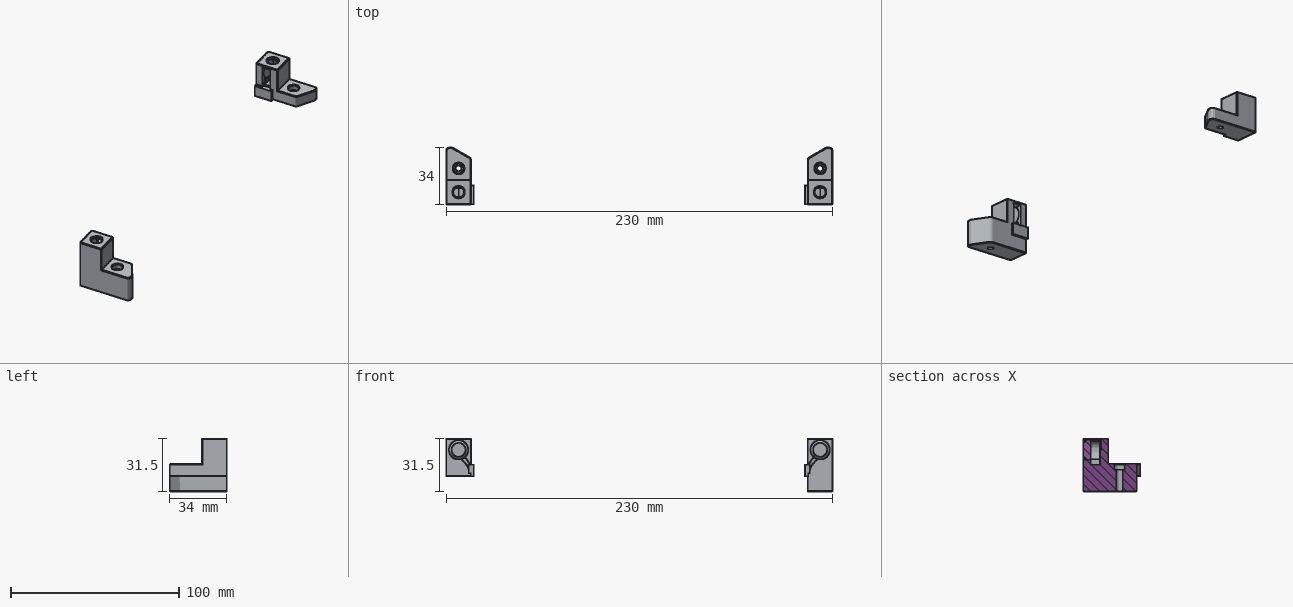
import cadquery as cq
import math

TOTAL_LENGTH = 230.0
DEPTH = 34.0
TOP_Z = 31.5
LEFT_BASE_Z = 9.0
RIGHT_BASE_Z = 0.0

TOWER_SIDE = 15.0
SHELF_Z = 16.5
FOOT_INNER_LENGTH = 27.5
FOOT_SLANT = 30.0
BACK_CORNER_RADIUS = 2.0
FRONT_CORNER_RADIUS = 1.0
EDGE_CHAMFER = 0.5
CENTRE_X = TOWER_SIDE / 2

MOUNT_HOLE_Y = 21.6
MOUNT_HOLE_DIAMETER = 3.5
COUNTERBORE_DIAMETER = 6.0
COUNTERBORE_DEPTH = 3.5

TOP_HOLE_DIAMETER = 6.5
TOP_HOLE_Y = TOWER_SIDE / 2
HOLE_CHAMFER = 0.58
HOLE_CHAMFER_ANGLE = 45

BORE_DIAMETER = 11.5
BORE_RADIUS = BORE_DIAMETER / 2
BORE_Z = 24.8
BORE_DEPTH = 10.0
PLUG_LENGTH = 4.5
PLUG_FACE_DIAMETER = 8.3
PLUG_CONE_LENGTH = 1.8

RAMP_ANGLE = math.radians(45)
RAMP_TOP_X = 8.7
RAMP_WALL_X = 13.5
BEND_RADIUS = 7.0
RAMP_TOP_OVERLAP = 0.5
RAMP_TOP_Z = BORE_Z - BORE_RADIUS + RAMP_TOP_OVERLAP
CHANNEL_BOTTOM_Z = 10.8
CEILING_X = 12.0
CEILING_END_X = 14.3
CEILING_Z = 19.8

WINDOW_TOP_Z = 30.0
LIP_TOP_Z = 16.0
LIP_REACH = 1.5
LIP_LENGTH = 11.5
LIP_SETBACK = 0.2


def box(x_range, y_range, z_range):
    """Axis-aligned box between the given pairs of limits."""
    sizes = [high - low for low, high in (x_range, y_range, z_range)]
    corner = (x_range[0], y_range[0], z_range[0])
    return cq.Workplane("XY").box(*sizes, centered=False).translate(corner)


def hole_down(diameter, y, top_z, depth):
    """Vertical cylinder on the bracket's centre line, reaching down from top_z."""
    return cq.Workplane("XY").workplane(offset=top_z).center(CENTRE_X, y).circle(diameter / 2).extrude(-depth)


def hole_chamfer(diameter, y, top_z):
    """Cone that breaks the rim of a vertical hole."""
    rim = cq.Workplane("XY").workplane(offset=top_z).center(CENTRE_X, y).circle(diameter / 2 + HOLE_CHAMFER)
    return rim.extrude(-HOLE_CHAMFER, taper=HOLE_CHAMFER_ANGLE)


def bracket_blank(base_z):
    """Foot and tower with their rounded corners and chamfered edges."""
    slant_depth = DEPTH - FOOT_INNER_LENGTH
    tip_width = TOWER_SIDE - slant_depth / math.tan(math.radians(FOOT_SLANT))
    outline = [(0, 0), (TOWER_SIDE, 0), (TOWER_SIDE, FOOT_INNER_LENGTH), (tip_width, DEPTH), (0, DEPTH)]
    foot = (
        cq.Workplane("XY")
        .workplane(offset=base_z)
        .polyline(outline)
        .close()
        .extrude(SHELF_Z - base_z)
        .edges("|Z and (not <Y)")
        .fillet(BACK_CORNER_RADIUS)
        .faces(">Z")
        .chamfer(EDGE_CHAMFER)
    )
    tower = box((0, TOWER_SIDE), (0, TOWER_SIDE), (base_z, TOP_Z))
    tower_back = cq.selectors.BoxSelector(
        (-EDGE_CHAMFER, TOWER_SIDE - EDGE_CHAMFER, SHELF_Z + EDGE_CHAMFER),
        (TOWER_SIDE + EDGE_CHAMFER, TOWER_SIDE + EDGE_CHAMFER, TOP_Z - EDGE_CHAMFER),
    )
    return (
        foot.union(tower)
        .edges("|Z and <Y")
        .fillet(FRONT_CORNER_RADIUS)
        .edges(tower_back)
        .edges("|Z")
        .chamfer(EDGE_CHAMFER)
        .faces(">Z or <Z")
        .chamfer(EDGE_CHAMFER)
    )


def channel():
    """Passage from the bore along the ramp to the inner side."""
    bend_centre_x = RAMP_WALL_X - BEND_RADIUS
    bend_start_x = bend_centre_x + BEND_RADIUS * math.sin(RAMP_ANGLE)
    bend_start_z = RAMP_TOP_Z - (bend_start_x - RAMP_TOP_X) * math.tan(RAMP_ANGLE)
    bend_centre_z = bend_start_z - BEND_RADIUS * math.cos(RAMP_ANGLE)
    half_bend = (math.pi / 2 - RAMP_ANGLE) / 2
    bend_middle = (
        bend_centre_x + BEND_RADIUS * math.cos(half_bend),
        bend_centre_z + BEND_RADIUS * math.sin(half_bend),
    )
    return (
        cq.Workplane("XZ")
        .moveTo(RAMP_TOP_X, RAMP_TOP_Z)
        .lineTo(bend_start_x, bend_start_z)
        .threePointArc(bend_middle, (RAMP_WALL_X, bend_centre_z))
        .lineTo(RAMP_WALL_X, CHANNEL_BOTTOM_Z)
        .lineTo(TOWER_SIDE, CHANNEL_BOTTOM_Z)
        .lineTo(TOWER_SIDE, LIP_TOP_Z)
        .lineTo(CEILING_END_X, LIP_TOP_Z)
        .lineTo(CEILING_X, CEILING_Z)
        .lineTo(RAMP_TOP_X, CEILING_Z)
        .close()
        .extrude(-BORE_DEPTH)
    )


def bracket(base_z):
    """Bracket with its outer side at X = 0 and its inner side towards +X."""
    bore = cq.Workplane("XZ").center(CENTRE_X, BORE_Z).circle(BORE_RADIUS).extrude(-BORE_DEPTH)
    window = box((CENTRE_X, TOWER_SIDE), (PLUG_LENGTH, BORE_DEPTH), (LIP_TOP_Z, WINDOW_TOP_Z))
    lip = box((RAMP_WALL_X, TOWER_SIDE + LIP_REACH), (LIP_SETBACK, LIP_LENGTH), (LEFT_BASE_Z, LIP_TOP_Z))
    return (
        bracket_blank(base_z)
        .cut(bore)
        .cut(channel())
        .cut(window)
        .union(lip)
        .cut(hole_down(TOP_HOLE_DIAMETER, TOP_HOLE_Y, TOP_Z, TOP_Z - BORE_Z))
        .cut(hole_chamfer(TOP_HOLE_DIAMETER, TOP_HOLE_Y, TOP_Z))
        .cut(hole_down(MOUNT_HOLE_DIAMETER, MOUNT_HOLE_Y, SHELF_Z, SHELF_Z - base_z))
        .cut(hole_down(COUNTERBORE_DIAMETER, MOUNT_HOLE_Y, SHELF_Z, COUNTERBORE_DEPTH))
        .cut(hole_chamfer(COUNTERBORE_DIAMETER, MOUNT_HOLE_Y, SHELF_Z))
    )


def plug():
    """Short cylinder with a conical nose, flush with the bracket's front."""
    half_profile = [
        (0, 0),
        (PLUG_FACE_DIAMETER / 2, 0),
        (BORE_RADIUS, PLUG_CONE_LENGTH),
        (BORE_RADIUS, PLUG_LENGTH),
        (0, PLUG_LENGTH),
    ]
    turned = cq.Workplane("XY").polyline(half_profile).close().revolve(360, (0, 0, 0), (0, 1, 0))
    return turned.translate((CENTRE_X, 0, BORE_Z))


def place_left(body):
    """Move a body to the -X end, its inner side facing +X."""
    return body.translate((-TOTAL_LENGTH / 2, 0, 0)).val()


def place_right(body):
    """Mirror a body and move it to the +X end, its inner side facing -X."""
    return body.mirror("YZ").translate((TOTAL_LENGTH / 2, 0, 0)).val()


brackets = [place_left(bracket(LEFT_BASE_Z)), place_right(bracket(RIGHT_BASE_Z))]
plugs = [place(plug()) for place in (place_left, place_right)]
result = cq.Compound.makeCompound([*brackets, *plugs])